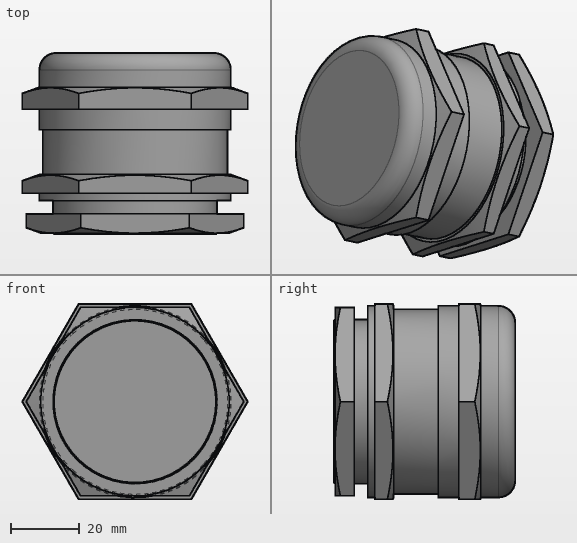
import cadquery as cq
import math

LENGTH = 53.0
FRONT_Y = -LENGTH / 2

NECK_DIAMETER = 48.0
NECK_CHAMFER_RADIAL = 0.4
NECK_CHAMFER_LENGTH = 0.5

LOCK_NUT_START = 0.4
LOCK_NUT_END = 6.0
LOCK_NUT_FLATS = 55.0
LOCK_NUT_CHAMFER_DIAMETER = 55.0

FLANGE_START = 9.9
FLANGE_DIAMETER = 56.0
BODY_HEX_START = 12.0
BODY_HEX_END = 17.5
SLEEVE_DIAMETER = 54.0

CAP_START = 30.5
CAP_DIAMETER = 56.0
CAP_HEX_START = 36.5
CAP_HEX_END = 43.0
CAP_ROUND_RADIUS = 5.0

HEX_FLATS = 57.0
HEX_CHAMFER_DIAMETER = 55.8
BEVEL_ANGLE = 20.0


def cylinder(diameter, start, end):
    """Cylinder about the Y axis between two stations."""
    plane = cq.Workplane("XZ", origin=(0, FRONT_Y + start, 0))
    return plane.circle(diameter / 2).extrude(start - end)


def bevelled_hex(flats, chamfer_diameter, flat_end, bevel_end):
    """Hexagon with corners along X, its corners trimmed by a cone at bevel_end."""
    corners = flats / math.cos(math.radians(30))
    plane = cq.Workplane("XZ", origin=(0, FRONT_Y + flat_end, 0))
    prism = plane.polygon(6, corners).extrude(flat_end - bevel_end)

    chamfer_radius = chamfer_diameter / 2
    outer_radius = corners / 2
    drop = (outer_radius - chamfer_radius) * math.tan(math.radians(BEVEL_ANGLE))
    toward_flat = math.copysign(1, flat_end - bevel_end)
    flat_y = FRONT_Y + flat_end
    bevel_y = FRONT_Y + bevel_end
    cone = (
        cq.Workplane("XY")
        .moveTo(0, flat_y)
        .lineTo(outer_radius, flat_y)
        .lineTo(outer_radius, bevel_y + toward_flat * drop)
        .lineTo(chamfer_radius, bevel_y)
        .lineTo(0, bevel_y)
        .close()
        .revolve(360, (0, 0, 0), (0, 1, 0))
    )
    return prism.intersect(cone)


def threaded_neck():
    neck = cylinder(NECK_DIAMETER, 0, FLANGE_START)
    return neck.faces("<Y").chamfer(NECK_CHAMFER_LENGTH, NECK_CHAMFER_RADIAL)


def lock_nut():
    return bevelled_hex(LOCK_NUT_FLATS, LOCK_NUT_CHAMFER_DIAMETER, LOCK_NUT_END, LOCK_NUT_START)


def main_body():
    flange = cylinder(FLANGE_DIAMETER, FLANGE_START, BODY_HEX_START)
    hexagon = bevelled_hex(HEX_FLATS, HEX_CHAMFER_DIAMETER, BODY_HEX_START, BODY_HEX_END)
    sleeve = cylinder(SLEEVE_DIAMETER, BODY_HEX_END, CAP_START)
    return flange.union(hexagon).union(sleeve)


def domed_cap():
    cap = cylinder(CAP_DIAMETER, CAP_START, LENGTH).faces(">Y").edges().fillet(CAP_ROUND_RADIUS)
    hexagon = bevelled_hex(HEX_FLATS, HEX_CHAMFER_DIAMETER, CAP_HEX_START, CAP_HEX_END)
    return cap.union(hexagon)


result = threaded_neck().union(lock_nut()).union(main_body()).union(domed_cap())